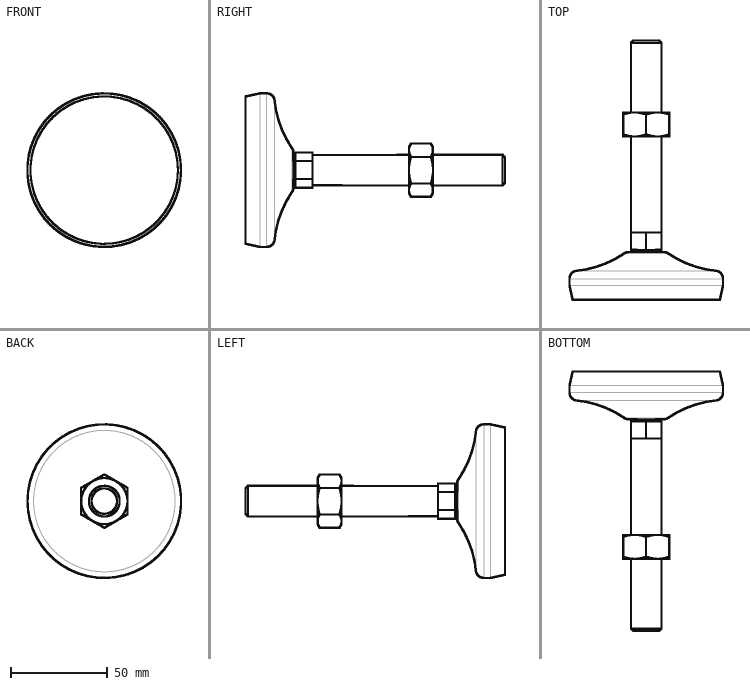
import cadquery as cq
import math

HEX_SIDES = 6

total_length = 135.0

foot_radius = 40.0
draft_height = 7.5
draft_angle = 12.5
rim_top = 11.0
rim_fillet = 4.3
rim_fillet_sweep = 75.0
flare_sag = 1.7
hub_radius = 11.5
hub_shoulder = 24.2
foot_height = 25.0
hub_face_radius = 9.3

neck_diameter = 10.0
spindle_diameter = 16.0
spindle_hex_start = 26.0
spindle_hex_length = 9.0
spindle_hex_flats = 16.0
spindle_chamfer = 1.4

nut_start = 85.0
nut_height = 12.5
nut_flats = 24.0
nut_chamfer_angle = 30.0


def axial_plane(y):
    """Plane at axial position y, with its normal along +Y and local x along X."""
    return cq.Plane(origin=(0, y, 0), xDir=(1, 0, 0), normal=(0, 1, 0))


def corner_diameter(across_flats):
    return across_flats / math.cos(math.radians(180 / HEX_SIDES))


def hexagon(start, length, across_flats):
    """Hexagonal prism along Y with two flats facing +X and -X and corners at +Z and -Z."""
    prism = cq.Workplane(axial_plane(start)).polygon(HEX_SIDES, corner_diameter(across_flats)).extrude(length)
    return prism.rotate((0, 0, 0), (0, 1, 0), 180 / HEX_SIDES)


def rod(start, end, diameter):
    return cq.Workplane(axial_plane(start)).circle(diameter / 2).extrude(end - start)


def make_foot():
    """Revolved disc with a drafted skirt, a rounded rim and a concave flare up to a rounded hub."""
    bottom_radius = foot_radius - draft_height * math.tan(math.radians(draft_angle))

    def on_rim_fillet(angle):
        t = math.radians(angle)
        return (foot_radius - rim_fillet * (1 - math.cos(t)), rim_top + rim_fillet * math.sin(t))

    rounding_width = hub_radius - hub_face_radius
    rounding_drop = foot_height - hub_shoulder
    hub_rounding = (rounding_width**2 + rounding_drop**2) / (2 * rounding_drop)

    profile = (
        cq.Workplane("XY")
        .lineTo(bottom_radius, 0)
        .lineTo(foot_radius, draft_height)
        .lineTo(foot_radius, rim_top)
        .threePointArc(on_rim_fillet(rim_fillet_sweep / 2), on_rim_fillet(rim_fillet_sweep))
        .sagittaArc((hub_radius, hub_shoulder), flare_sag)
        .radiusArc((hub_face_radius, foot_height), -hub_rounding)
        .lineTo(0, foot_height)
        .close()
    )
    return profile.revolve(360, (0, 0, 0), (0, 1, 0))


def make_spindle():
    hex_end = spindle_hex_start + spindle_hex_length
    neck = rod(foot_height, spindle_hex_start, neck_diameter)
    shaft = rod(hex_end, total_length, spindle_diameter).faces(">Y").chamfer(spindle_chamfer)
    drive_hex = hexagon(spindle_hex_start, spindle_hex_length, spindle_hex_flats)
    return neck.union(drive_hex).union(shaft)


def make_nut():
    """Hexagon nut whose corners are turned down by a cone at both ends."""
    corner_radius = corner_diameter(nut_flats) / 2
    face_radius = nut_flats / 2
    chamfer_depth = (corner_radius - face_radius) * math.tan(math.radians(nut_chamfer_angle))
    nut_end = nut_start + nut_height
    envelope = (
        cq.Workplane("XY")
        .moveTo(0, nut_start)
        .lineTo(face_radius, nut_start)
        .lineTo(corner_radius, nut_start + chamfer_depth)
        .lineTo(corner_radius, nut_end - chamfer_depth)
        .lineTo(face_radius, nut_end)
        .lineTo(0, nut_end)
        .close()
        .revolve(360, (0, 0, 0), (0, 1, 0))
    )
    return hexagon(nut_start, nut_height, nut_flats).intersect(envelope)


result = make_foot().union(make_spindle()).union(make_nut())